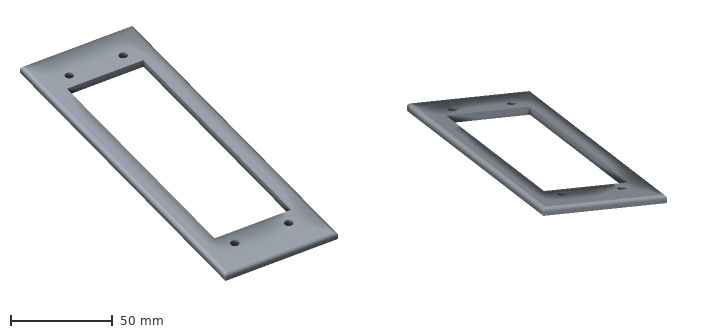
import cadquery as cq

length = 195.0
width = 65.0
thickness = 4.0
edge_radius = thickness / 2

window_length = 140.0
window_width = 44.0

hole_diameter = 4.7
hole_spacing_x = 157.0
hole_spacing_y = 31.0

plate = (
    cq.Workplane("XY")
    .box(length, width, thickness, centered=(True, True, False))
    .faces(">Z")
    .edges()
    .fillet(edge_radius)
)

plate = plate.cut(
    cq.Workplane("XY")
    .rect(window_length, window_width)
    .extrude(thickness)
)

result = plate.cut(
    cq.Workplane("XY")
    .rect(hole_spacing_x, hole_spacing_y, forConstruction=True)
    .vertices()
    .circle(hole_diameter / 2)
    .extrude(thickness)
)